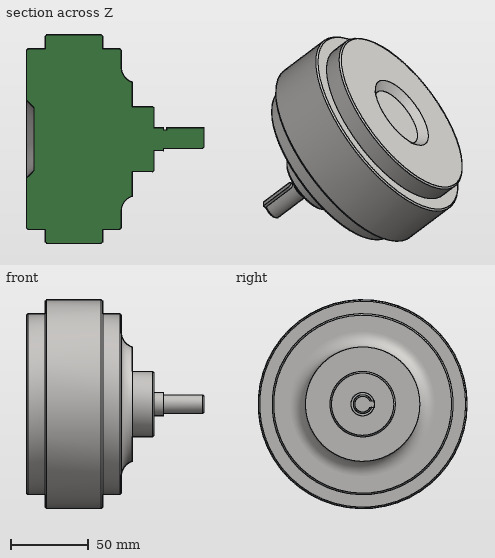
import cadquery as cq
import math

housing_radius = 116.0 / 2
housing_end = 61.0
ring_radius = 134 / 2
ring_start = 12.0
ring_end = 49.0
edge_chamfer = 1.0

flange_end = 68.0
flare_radius = 10.0
flare_foot_radius = 46.2

boss_radius = 42.0 / 2
boss_end = 82.0
collar_radius = 15.0 / 2
collar_end = 88.0
shaft_radius = 12 / 2
shaft_end = 114.0

key_width = 4.2
key_start = 89.9
key_top = collar_radius

recess_mouth_radius = 50.0 / 2
recess_floor_radius = 40.2 / 2
recess_depth = recess_mouth_radius - recess_floor_radius


def cylinder(start, end, radius):
    return cq.Workplane("YZ", origin=(start, 0, 0)).circle(radius).extrude(end - start)


def make_flange():
    """Revolve the flare profile; the arc runs from the housing face to the flange face."""
    center_x = housing_end + flare_radius
    end_angle = math.acos((center_x - flange_end) / flare_radius)

    def flare_point(angle):
        x = center_x - flare_radius * math.cos(angle)
        radius = flare_foot_radius - flare_radius * math.sin(angle)
        return (x, radius)

    flange_start = ring_end
    profile = (
        cq.Workplane("XY")
        .moveTo(flange_start, 0)
        .lineTo(flange_start, flare_foot_radius)
        .lineTo(housing_end, flare_foot_radius)
        .threePointArc(flare_point(end_angle / 2), flare_point(end_angle))
        .lineTo(flange_end, 0)
        .close()
    )
    return profile.revolve(360, (0, 0, 0), (1, 0, 0))


def make_key():
    """Key with a rounded inner end and a square end flush with the shaft end."""
    round_radius = key_width / 2
    round_center = key_start + round_radius
    return (
        cq.Workplane("XZ")
        .moveTo(round_center, round_radius)
        .lineTo(shaft_end, round_radius)
        .lineTo(shaft_end, -round_radius)
        .lineTo(round_center, -round_radius)
        .threePointArc((key_start, 0), (round_center, round_radius))
        .close()
        .extrude(-key_top)
    )


def make_recess():
    return (
        cq.Workplane("YZ")
        .circle(recess_mouth_radius)
        .workplane(offset=recess_depth)
        .circle(recess_floor_radius)
        .loft(ruled=True)
    )


housing = cylinder(0, housing_end, housing_radius).edges().chamfer(edge_chamfer)
ring = cylinder(ring_start, ring_end, ring_radius).edges().chamfer(edge_chamfer)
boss = cylinder(housing_end, boss_end, boss_radius).edges(">X").chamfer(edge_chamfer)
collar = cylinder(housing_end, collar_end, collar_radius)
shaft = cylinder(housing_end, shaft_end, shaft_radius).edges(">X").chamfer(edge_chamfer)

result = (
    housing.union(ring)
    .union(make_flange())
    .union(boss)
    .union(collar)
    .union(shaft)
    .union(make_key())
    .cut(make_recess())
)